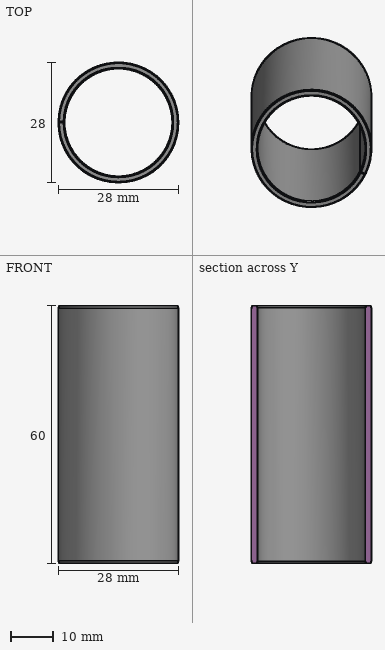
import cadquery as cq

length = 60.0
outer_diameter = 28.0
wall = 1.5
inner_diameter = outer_diameter - 2 * wall
outer_chamfer_height = 0.6
outer_chamfer_depth = 0.25
inner_chamfer_depth = 0.3
inner_chamfer_height = 0.5
slit_width = 0.25

outer_radius = outer_diameter / 2
inner_radius = inner_diameter / 2


def make_sleeve():
    """Revolve the wall section, bevelled on both edges of each end."""
    section = [
        (inner_radius, inner_chamfer_height),
        (inner_radius + inner_chamfer_depth, 0),
        (outer_radius - outer_chamfer_depth, 0),
        (outer_radius, outer_chamfer_height),
        (outer_radius, length - outer_chamfer_height),
        (outer_radius - outer_chamfer_depth, length),
        (inner_radius + inner_chamfer_depth, length),
        (inner_radius, length - inner_chamfer_height),
    ]
    return cq.Workplane("XZ").polyline(section).close().revolve(360, (0, 0, 0), (0, 1, 0))


def make_slit():
    """Narrow full-length gap through the wall on the -X side, with one face on the plane Y = 0."""
    return cq.Workplane("XY").box(
        outer_diameter, slit_width, length, centered=False
    ).translate((-outer_diameter, 0, 0))


result = make_sleeve().cut(make_slit())